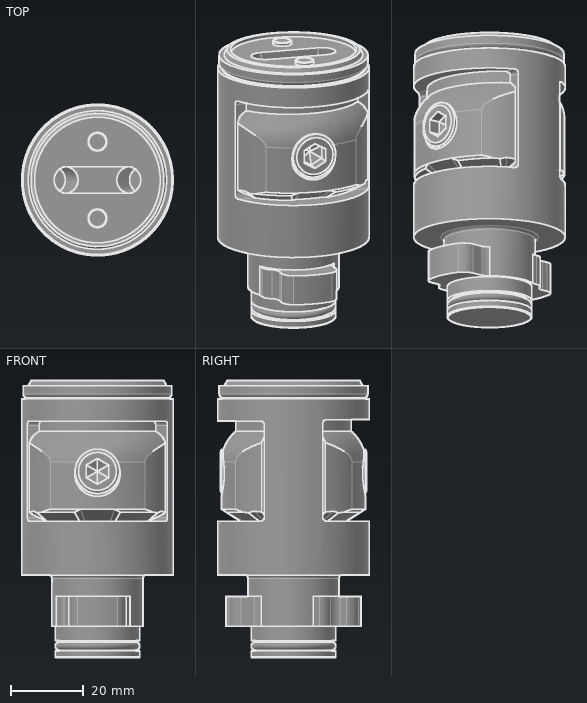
import math

import cadquery as cq

TOTAL_HEIGHT = 76.17
BODY_RADIUS = 20.8
BODY_BOTTOM = 22.7
BODY_TOP = 71.0

CAP_RADIUS = 20.45
CAP_NECK_RADIUS = 19.7
CAP_NECK_TOP = 71.3
CAP_ROUND_TOP = 72.5
CAP_ROUND_RADIUS = 1.4
CAP_STEP = 74.65
RIM_BASE_RADIUS = 19.0
RIM_TOP_RADIUS = 18.25
RIM_EDGE_WIDTH = 0.4
RIM_EDGE_HEIGHT = 0.12
RECESS_RADIUS = 17.25
RECESS_DEPTH = 1.2
RECESS_FLOOR = TOTAL_HEIGHT - RECESS_DEPTH

SHAFT_RADIUS = 12.55
SHAFT_BOTTOM = 8.64
SHAFT_FLARE = 0.8
NOSE_RADIUS = 11.65
NOSE_EDGE = 0.25
GROOVE_BOTTOM = 1.95
GROOVE_TOP = 4.7
RING_SECTION_RADIUS = 1.1
GROOVE_RADIUS = NOSE_RADIUS - RING_SECTION_RADIUS
RING_HEIGHT = 3.25

WINDOW_FLOOR = 8.0
WINDOW_BOTTOM = 37.5
FRONT_WINDOW_TOP = 64.95
REAR_WINDOW_TOP = 65.35
WINDOW_FILLET = 1.1
INSERT_OFFSET = 4.3
INSERT_SIDE_RADIUS = 20.6
INSERT_HALF_WIDTH = 18.7
INSERT_BACK_CHAMFER = 0.8
INSERT_RADIUS = 24.1
INSERT_NECK_RADIUS = 20.2
INSERT_BASE_RADIUS = 18.7
INSERT_CONE_TOP = 40.8
INSERT_DOME_BOTTOM = 53.75
INSERT_DOME_TOP = 62.15

PAD_BASE_RADIUS = 19.5
PAD_TOP_RADIUS = 23.7
PAD_TOP = 39.95
PAD_ROOT_RADIUS = 18.0
PAD_CENTRE_ANGLE = 30
PAD_FACE_SPAN = 30
PAD_ROOT_SPAN = 38
PAD_HEIGHT = 0.55
PAD_WALL_OVERRUN = 0.4

SCREW_HEIGHT = 51.15
SCREW_HEAD_RADIUS = 6.1
SCREW_FACE_RADIUS = 5.2
SCREW_CHAMFER_DEPTH = 0.4
SCREW_SEAT = 18.0
SCREW_FACE = 20.1
SEAT_RADIUS = 6.25
SEAT_DROP = 0.6
HEX_ACROSS_FLATS = 6.1
HEX_DEPTH = 3.6
HEX_TIP_DEPTH = 1.5
HEX_TIP_SHARPNESS = 0.99

LUG_TOP = 16.85
LUG_RADIUS = 18.6
LUG_HALF_WIDTH = 7.85
LUG_CORNER_START = 14.4
LUG_CORNER_END = 5.5
LUG_CORNER_X = 6.95
LUG_CORNER_Y = 16.75
LUG_HEEL_ROOT = (-11.3, -5.4)
LUG_HEEL_TIP = (-11.2, -7.0)
LUG_HEEL_ROUND = (-10.7, -8.9)
LUG_HEEL_END = (-9.3, -10.1)
LUG_HOLLOW = (-8.2, -11.2)
LUG_HOLLOW_DEPTH = 12.7
LUG_FILLET_DEPTH = 10.85
LUG_FILLET = (8.25, -9.7)
LUG_FILLET_END = (8.95, -8.85)

SLOT_LENGTH = 23.7
SLOT_WIDTH = 7.4
SLOT_DEPTH = 6.2
PASSAGE_TILT = 8.3
PASSAGE_LENGTH = 30.0
PIN_RADIUS = 2.55
PIN_SPACING = 21.0
PIN_HEIGHT = 1.0
PIN_CHAMFER = 0.2


def lathe(profile):
    """Full turn of a closed (radius, height) profile about the Z axis."""
    return profile.close().revolve(360, (0, 0, 0), (0, 1, 0))


def make_turned_body():
    profile = (
        cq.Workplane("XZ")
        .lineTo(NOSE_RADIUS - NOSE_EDGE, 0)
        .lineTo(NOSE_RADIUS, NOSE_EDGE)
        .lineTo(NOSE_RADIUS, GROOVE_BOTTOM)
        .lineTo(GROOVE_RADIUS, GROOVE_BOTTOM)
        .lineTo(GROOVE_RADIUS, GROOVE_TOP)
        .lineTo(NOSE_RADIUS, GROOVE_TOP)
        .lineTo(NOSE_RADIUS, SHAFT_BOTTOM)
        .lineTo(SHAFT_RADIUS, SHAFT_BOTTOM)
        .lineTo(SHAFT_RADIUS, BODY_BOTTOM - SHAFT_FLARE)
        .radiusArc((SHAFT_RADIUS + SHAFT_FLARE, BODY_BOTTOM), SHAFT_FLARE)
        .lineTo(BODY_RADIUS, BODY_BOTTOM)
        .lineTo(BODY_RADIUS, BODY_TOP)
        .lineTo(CAP_NECK_RADIUS, BODY_TOP)
        .lineTo(CAP_NECK_RADIUS, CAP_NECK_TOP)
        .radiusArc((CAP_RADIUS, CAP_ROUND_TOP), -CAP_ROUND_RADIUS)
        .lineTo(CAP_RADIUS, CAP_STEP)
        .lineTo(RIM_BASE_RADIUS, CAP_STEP)
        .lineTo(RIM_TOP_RADIUS, TOTAL_HEIGHT - RIM_EDGE_HEIGHT)
        .lineTo(RIM_TOP_RADIUS - RIM_EDGE_WIDTH, TOTAL_HEIGHT)
        .lineTo(RECESS_RADIUS, TOTAL_HEIGHT)
        .lineTo(RECESS_RADIUS, RECESS_FLOOR)
        .lineTo(0, RECESS_FLOOR)
    )
    return lathe(profile)


def make_sealing_ring():
    profile = (
        cq.Workplane("XZ")
        .moveTo(GROOVE_RADIUS, RING_HEIGHT + RING_SECTION_RADIUS)
        .threePointArc(
            (NOSE_RADIUS, RING_HEIGHT),
            (GROOVE_RADIUS, RING_HEIGHT - RING_SECTION_RADIUS),
        )
    )
    return lathe(profile)


def make_window(top):
    """Opening on the -Y side down to a flat floor, rounded along the floor."""
    height = top - WINDOW_BOTTOM
    return (
        cq.Workplane("XY")
        .box(2 * BODY_RADIUS + 2 * WINDOW_FILLET, BODY_RADIUS, height, centered=(True, False, False))
        .faces(">Y")
        .edges("|X")
        .fillet(WINDOW_FILLET)
        .translate((0, -WINDOW_FLOOR - BODY_RADIUS, WINDOW_BOTTOM))
    )


def make_pad():
    """Cone sector on the -Y side of the insert axis, with sloping side walls."""
    ring = lathe(
        cq.Workplane("XZ")
        .moveTo(PAD_ROOT_RADIUS, WINDOW_BOTTOM)
        .lineTo(PAD_BASE_RADIUS, WINDOW_BOTTOM)
        .lineTo(PAD_TOP_RADIUS, PAD_TOP)
        .lineTo(INSERT_RADIUS, INSERT_CONE_TOP)
        .lineTo(PAD_ROOT_RADIUS, INSERT_CONE_TOP)
    )
    cone_slope = (INSERT_CONE_TOP - WINDOW_BOTTOM) / (INSERT_RADIUS - INSERT_BASE_RADIUS)
    face_angle = math.radians(PAD_FACE_SPAN / 2)
    root_angle = math.radians(PAD_ROOT_SPAN / 2)

    def cone_height(radius):
        return WINDOW_BOTTOM + (radius - INSERT_BASE_RADIUS) * cone_slope

    def wall_outline(depth):
        """Section at Y = -depth, with walls from the pad edges to the cone and beyond."""
        face = cq.Vector(depth * math.tan(face_angle), -depth, 0)
        face.z = cone_height(depth / math.cos(face_angle)) - PAD_HEIGHT
        root = cq.Vector(depth * math.tan(root_angle), -depth, 0)
        root.z = cone_height(depth / math.cos(root_angle))
        low = face - (root - face) * PAD_WALL_OVERRUN
        high = root + (root - face) * PAD_WALL_OVERRUN
        keel = cq.Vector(0, -depth, cone_height(depth) - 2 * PAD_HEIGHT)
        low_left = cq.Vector(-low.x, low.y, low.z)
        high_left = cq.Vector(-high.x, high.y, high.z)
        return cq.Wire.makePolygon([low_left, keel, low, high, high_left], close=True)

    inner = wall_outline(PAD_ROOT_RADIUS * math.cos(root_angle))
    outer = wall_outline(INSERT_RADIUS + PAD_HEIGHT)
    wedge = cq.Workplane(cq.Solid.makeLoft([inner, outer], True))
    return ring.intersect(wedge)


def make_insert(top):
    """Bulged body on the -Y side, turned about an axis set back from the centre."""
    turned = lathe(
        cq.Workplane("XZ")
        .moveTo(0, WINDOW_BOTTOM)
        .lineTo(INSERT_BASE_RADIUS, WINDOW_BOTTOM)
        .lineTo(INSERT_RADIUS, INSERT_CONE_TOP)
        .lineTo(INSERT_RADIUS, INSERT_DOME_BOTTOM)
        .tangentArcPoint((INSERT_NECK_RADIUS, INSERT_DOME_TOP), relative=False)
        .lineTo(INSERT_NECK_RADIUS, top)
        .lineTo(0, top)
    )
    pad = make_pad()
    for side in (-1, 1):
        turned = turned.union(pad.rotate((0, 0, 0), (0, 0, 1), side * PAD_CENTRE_ANGLE))
    turned = turned.translate((0, INSERT_OFFSET, 0))
    chamfer_end = INSERT_HALF_WIDTH - INSERT_BACK_CHAMFER
    envelope = (
        cq.Workplane("XY", origin=(0, 0, WINDOW_BOTTOM))
        .polyline(
            [
                (-chamfer_end, 0),
                (-chamfer_end, -WINDOW_FLOOR),
                (-INSERT_HALF_WIDTH, -WINDOW_FLOOR - INSERT_BACK_CHAMFER),
                (-INSERT_HALF_WIDTH, -BODY_RADIUS),
                (INSERT_HALF_WIDTH, -BODY_RADIUS),
                (INSERT_HALF_WIDTH, -WINDOW_FLOOR - INSERT_BACK_CHAMFER),
                (chamfer_end, -WINDOW_FLOOR),
                (chamfer_end, 0),
            ]
        )
        .close()
        .extrude(top - WINDOW_BOTTOM)
    )
    side = cq.Workplane("XY").circle(INSERT_SIDE_RADIUS).extrude(TOTAL_HEIGHT)
    return turned.intersect(envelope).intersect(side)


def add_screw(body):
    """Socket screw on the -Y side in a round seat set slightly below its centre."""
    length = SCREW_FACE - SCREW_SEAT
    seat_plane = cq.Workplane("XZ", origin=(0, -SCREW_SEAT, SCREW_HEIGHT))
    seat = seat_plane.center(0, -SEAT_DROP).circle(SEAT_RADIUS).extrude(BODY_RADIUS - SCREW_SEAT)
    head = (
        seat_plane.circle(SCREW_HEAD_RADIUS)
        .extrude(length)
        .faces("<Y")
        .chamfer(SCREW_CHAMFER_DEPTH, SCREW_HEAD_RADIUS - SCREW_FACE_RADIUS)
    )
    hex_circle = HEX_ACROSS_FLATS / math.cos(math.pi / 6)
    socket = (
        cq.Workplane("XZ", origin=(0, -SCREW_FACE, SCREW_HEIGHT))
        .transformed(rotate=(0, 0, 30))
        .polygon(6, hex_circle)
        .extrude(-HEX_DEPTH)
    )
    tip_taper = math.degrees(math.atan(HEX_ACROSS_FLATS / 2 / HEX_TIP_DEPTH))
    tip = (
        socket.faces(">Y")
        .wires()
        .toPending()
        .workplane()
        .extrude(HEX_TIP_DEPTH * HEX_TIP_SHARPNESS, taper=tip_taper, combine=False)
    )
    return body.cut(seat).union(head).cut(socket).cut(tip)


def half_turn(shape):
    return shape.rotate((0, 0, 0), (0, 0, 1), 180)


def make_lug():
    """Hooked bayonet lug on the -Y side."""
    end_depth = math.sqrt(LUG_RADIUS**2 - LUG_CORNER_END**2)
    return (
        cq.Workplane("XY", origin=(0, 0, SHAFT_BOTTOM))
        .moveTo(0, 0)
        .lineTo(*LUG_HEEL_ROOT)
        .lineTo(*LUG_HEEL_TIP)
        .threePointArc(LUG_HEEL_ROUND, LUG_HEEL_END)
        .threePointArc(LUG_HOLLOW, (-LUG_HALF_WIDTH, -LUG_HOLLOW_DEPTH))
        .lineTo(-LUG_HALF_WIDTH, -LUG_CORNER_START)
        .threePointArc((-LUG_CORNER_X, -LUG_CORNER_Y), (-LUG_CORNER_END, -end_depth))
        .threePointArc((0, -LUG_RADIUS), (LUG_CORNER_END, -end_depth))
        .threePointArc((LUG_CORNER_X, -LUG_CORNER_Y), (LUG_HALF_WIDTH, -LUG_CORNER_START))
        .lineTo(LUG_HALF_WIDTH, -LUG_FILLET_DEPTH)
        .threePointArc(LUG_FILLET, LUG_FILLET_END)
        .close()
        .extrude(LUG_TOP - SHAFT_BOTTOM)
    )


def cut_slot(body):
    floor = RECESS_FLOOR - SLOT_DEPTH
    slot = (
        cq.Workplane("XY", origin=(0, 0, floor))
        .slot2D(SLOT_LENGTH, SLOT_WIDTH)
        .extrude(SLOT_DEPTH)
    )
    body = body.cut(slot)
    lean = math.tan(math.radians(PASSAGE_TILT))
    for side in (-1, 1):
        passage = cq.Workplane(
            cq.Solid.makeCylinder(
                SLOT_WIDTH / 2,
                PASSAGE_LENGTH,
                cq.Vector(side * (SLOT_LENGTH - SLOT_WIDTH) / 2, 0, RECESS_FLOOR),
                cq.Vector(side * lean, 0, -1),
            )
        )
        body = body.cut(passage)
    return body


def make_pins():
    return (
        cq.Workplane("XY", origin=(0, 0, RECESS_FLOOR))
        .pushPoints([(0, -PIN_SPACING / 2), (0, PIN_SPACING / 2)])
        .circle(PIN_RADIUS)
        .extrude(PIN_HEIGHT)
        .faces(">Z")
        .chamfer(PIN_CHAMFER)
    )


body = make_turned_body()
body = body.union(make_sealing_ring())
for window_top in (FRONT_WINDOW_TOP, REAR_WINDOW_TOP):
    body = body.cut(make_window(window_top)).union(make_insert(window_top))
    body = add_screw(body)
    body = half_turn(body.union(make_lug()))
result = cut_slot(body).union(make_pins())